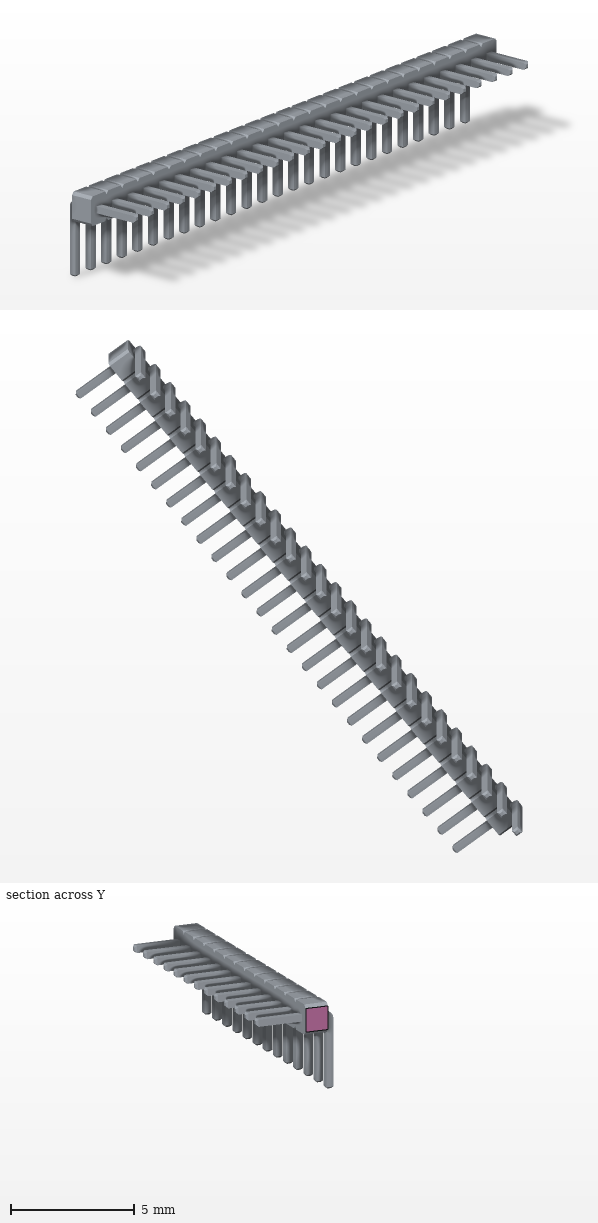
import cadquery as cq
import math

pin_count = 26
row_length = 26.0
pitch = row_length / pin_count

housing_width = pitch
housing_height = 1.27
notch_run = 0.1
notch_depth = 0.13

pin_size = 0.3 * pitch
tip_length = 0.08
tip_inset = 0.08
bend_radius = pin_size
overall_width = 3.4
overall_height = 3.77
contact_length = 2.0

tail_axis_x = pin_size / 2
housing_x = overall_width - contact_length - housing_width
pin_axis_z = overall_height - housing_height / 2
pin_top_z = pin_axis_z + pin_size / 2


def housing_block(center_y):
    """One block with its four long edges bevelled, so neighbours meet in notches."""
    half = pitch / 2
    top_z = overall_height
    bottom_z = overall_height - housing_height
    outline = [
        (center_y - half, bottom_z + notch_depth),
        (center_y - half + notch_run, bottom_z),
        (center_y + half - notch_run, bottom_z),
        (center_y + half, bottom_z + notch_depth),
        (center_y + half, top_z - notch_depth),
        (center_y + half - notch_run, top_z),
        (center_y - half + notch_run, top_z),
        (center_y - half, top_z - notch_depth),
    ]
    return cq.Workplane("YZ", origin=(housing_x, 0, 0)).polyline(outline).close().extrude(housing_width)


def tapered_tip(plane):
    """Short pyramid frustum that starts at full pin size."""
    tip_size = pin_size - 2 * tip_inset
    return (
        cq.Workplane(plane)
        .rect(pin_size, pin_size)
        .workplane(offset=tip_length)
        .rect(tip_size, tip_size)
        .loft(ruled=True)
    )


def bent_pin(center_y):
    """L-shaped square pin with a rounded outer corner and tapered ends."""
    contact_end_x = overall_width - tip_length
    inner_z = pin_top_z - pin_size
    bend_middle = bend_radius * (1 - math.sqrt(0.5))
    bar = (
        cq.Workplane("XZ", origin=(0, center_y, 0))
        .moveTo(0, tip_length)
        .lineTo(pin_size, tip_length)
        .lineTo(pin_size, inner_z)
        .lineTo(contact_end_x, inner_z)
        .lineTo(contact_end_x, pin_top_z)
        .lineTo(bend_radius, pin_top_z)
        .threePointArc((bend_middle, pin_top_z - bend_middle), (0, pin_top_z - bend_radius))
        .close()
        .extrude(pin_size / 2, both=True)
    )
    tail_plane = cq.Plane(origin=(tail_axis_x, center_y, tip_length), xDir=(1, 0, 0), normal=(0, 0, -1))
    contact_plane = cq.Plane(origin=(contact_end_x, center_y, pin_axis_z), xDir=(0, 1, 0), normal=(1, 0, 0))
    return bar.union(tapered_tip(tail_plane)).union(tapered_tip(contact_plane))


first_pin_y = (pitch - row_length) / 2
solids = []
for index in range(pin_count):
    y = first_pin_y + index * pitch
    solids.append(housing_block(y).union(bent_pin(y)).val())

result = cq.Workplane(solids[0].fuse(*solids[1:]).clean())